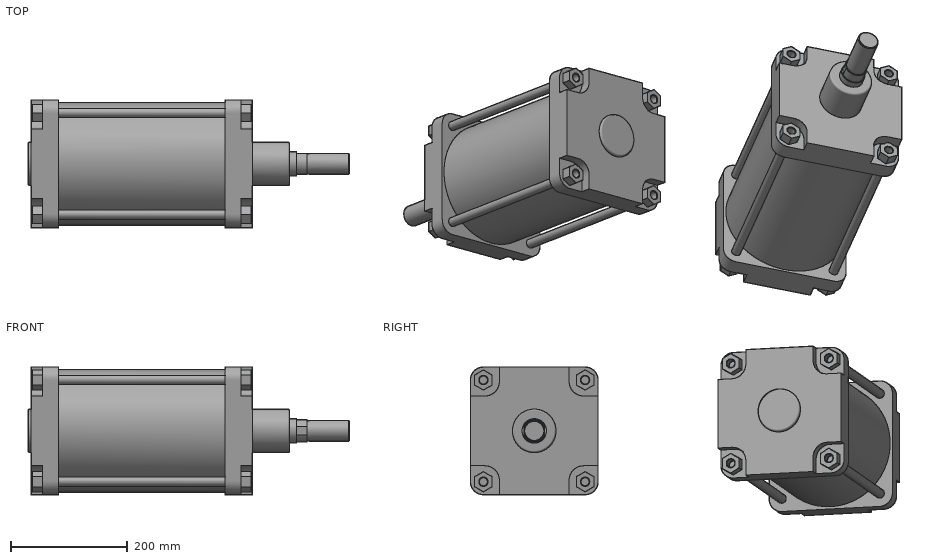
import cadquery as cq

body_length = 380.5
cap_thickness = 47.0
barrel_start = cap_thickness
barrel_end = body_length - cap_thickness

cap_width = 220.0
tie_rod_spacing = 175.0
tie_rod_offset = tie_rod_spacing / 2
cap_corner_radius = cap_width / 2 - tie_rod_offset
pocket_size = 50.0
pocket_depth = 19.5
pocket_radius = 25.0

boss_diameter = 75.0
rear_boss_length = 5.5
neck_length = 64.0
boss_edge_radius = 3.0

barrel_diameter = 212.0

rod_diameter = 42.0
rod_collar_length = 12.0
flats_diameter = 39.0
flats_width = 36.0
flats_length = 18.0
thread_diameter = 36.0
thread_length = 73.0
thread_chamfer = 1.5
relief_diameter = 35.0
relief_length = 2.5
relief_runout_length = 2.0
relief_step = (thread_diameter - relief_diameter) / 2

tie_rod_diameter = 16.0
nut_across_flats = 30.0
nut_height = 17.5
socket_diameter = 14.0
socket_depth = nut_height
socket_chamfer = 1.0

neck_end = body_length + neck_length
flats_start = neck_end + rod_collar_length
flats_end = flats_start + flats_length
rod_tip = flats_end + thread_length

corner_signs = [(sy, sz) for sy in (-1, 1) for sz in (-1, 1)]


def cylinder(diameter, start, end):
    """Cylinder on the X axis between two stations."""
    return cq.Workplane("YZ", origin=(start, 0, 0)).circle(diameter / 2).extrude(end - start)


def corner_pocket(sy, sz, start, depth):
    """Square cutter for one cap corner, with its edges along X rounded."""
    outer_margin = pocket_radius
    size = pocket_size + outer_margin
    center = cap_width / 2 + outer_margin - size / 2
    return (
        cq.Workplane("YZ", origin=(start, sy * center, sz * center))
        .rect(size, size)
        .extrude(depth)
        .edges("|X")
        .fillet(pocket_radius)
    )


def make_cap(inner_face, outer_face):
    """Square cap with nut pockets in its outer face and holes that fit the tie rods."""
    start = min(inner_face, outer_face)
    cap = (
        cq.Workplane("YZ", origin=(start, 0, 0))
        .rect(cap_width, cap_width)
        .extrude(cap_thickness)
        .edges("|X")
        .fillet(cap_corner_radius)
    )
    pocket_start = outer_face if outer_face < inner_face else outer_face - pocket_depth
    for sy, sz in corner_signs:
        cap = cap.cut(corner_pocket(sy, sz, pocket_start, pocket_depth))
    holes = (
        cq.Workplane("YZ", origin=(start, 0, 0))
        .rect(tie_rod_spacing, tie_rod_spacing, forConstruction=True)
        .vertices()
        .circle(tie_rod_diameter / 2)
        .extrude(cap_thickness)
    )
    return cap.cut(holes)


def make_rear_cap():
    boss = cylinder(boss_diameter, -rear_boss_length, 0).faces("<X").fillet(boss_edge_radius)
    return make_cap(barrel_start, 0).union(boss)


def make_front_cap():
    neck = cylinder(boss_diameter, body_length, neck_end).faces(">X").fillet(boss_edge_radius)
    bore = cylinder(rod_diameter, barrel_end, neck_end)
    return make_cap(barrel_end, body_length).union(neck).cut(bore)


def make_piston_rod():
    shank = cylinder(rod_diameter, barrel_end, flats_start)
    flats = cylinder(flats_diameter, flats_start, flats_end).intersect(
        cq.Workplane("XY", origin=((flats_start + flats_end) / 2, 0, 0))
        .box(flats_length, flats_width, flats_diameter)
    )
    relief = cylinder(relief_diameter, flats_end, flats_end + relief_length)
    thread = (
        cylinder(thread_diameter, flats_end + relief_length, rod_tip)
        .faces(">X")
        .chamfer(thread_chamfer)
        .faces("<X")
        .edges()
        .chamfer(relief_runout_length, relief_step)
    )
    return shank.union(flats).union(relief).union(thread)


def make_tie_rod(sy, sz):
    """Tie rod with a hexagonal nut at each end, points of the hexagon toward +Z and -Z."""
    y = sy * tie_rod_offset
    z = sz * tie_rod_offset
    shank_start = pocket_depth
    shank_end = body_length - pocket_depth
    rod = (
        cq.Workplane("YZ", origin=(shank_start, y, z))
        .circle(tie_rod_diameter / 2)
        .extrude(shank_end - shank_start)
    )
    for seat, direction in ((shank_start, -1), (shank_end, 1)):
        nut = (
            cq.Workplane("YZ", origin=(seat, y, z))
            .polygon(6, nut_across_flats, circumscribed=True)
            .extrude(direction * nut_height)
        )
        countersink = (
            cq.Workplane("YZ", origin=(seat + direction * nut_height, y, z))
            .circle(socket_diameter / 2 + socket_chamfer)
            .workplane(offset=-direction * socket_chamfer)
            .circle(socket_diameter / 2)
            .loft()
        )
        socket = (
            cq.Workplane("YZ", origin=(seat + direction * nut_height, y, z))
            .circle(socket_diameter / 2)
            .extrude(-direction * socket_depth)
            .union(countersink)
        )
        rod = rod.union(nut).cut(socket)
    return rod


rear_cap = make_rear_cap()
front_cap = make_front_cap()
barrel = cylinder(barrel_diameter, barrel_start, barrel_end)
piston_rod = make_piston_rod()
tie_rods = [make_tie_rod(sy, sz) for sy, sz in corner_signs]

result = cq.Compound.makeCompound(
    [rear_cap.val(), front_cap.val(), barrel.val(), piston_rod.val()]
    + [tie_rod.val() for tie_rod in tie_rods]
)